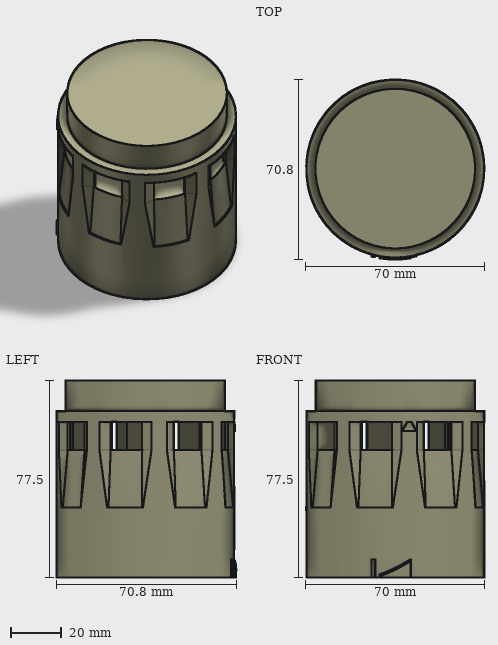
import math

import cadquery as cq

body_radius = 35.0
body_height = 65.5
cap_radius = 31.4
total_height = 77.5

window_count = 8
window_pitch = 360.0 / window_count
first_window_angle = -58.5
window_bottom = 27.5
ledge_height = 50.2
window_top = 61.2
opening_height = window_top - ledge_height
opening_half_angle = window_pitch / 4
floor_radius_bottom = 34.6
floor_radius_top = 32.5
rim_half_angle_bottom = 11.9
rim_half_angle_top = 17.5

chamber_radius = cap_radius
block_inner_distance = 20.4
first_block_angle = first_window_angle + 1.5 * window_pitch
block_angles = (first_block_angle, first_block_angle + 180)

mark_radius = body_radius + 0.75
mark_root_radius = body_radius - 1.0
arrow_radius = body_radius + 0.4

arrow_angle = first_window_angle - window_pitch / 2
arrow_base_height = 57.6
arrow_base_half_width = 2.9
arrow_tip_half_width = 0.8

stop_height = 7.15
rib_left = -9.25
rib_right_root = -7.75
rib_right_crest = -8.2
rib_back_y = -math.sqrt(mark_root_radius**2 - rib_left**2)
rib_root_y = -math.sqrt(body_radius**2 - rib_right_root**2)
rib_crest_y = -math.sqrt(mark_radius**2 - rib_right_crest**2)

ramp_half_length = 6.1
ramp_low_end_height = 1.2
ramp_crest_drop = 1.0
ramp_crest_inset = 0.2


def polar(radius, angle):
    """Point at a radius and an angle in degrees from +X."""
    radians = math.radians(angle)
    return (radius * math.cos(radians), radius * math.sin(radians))


def cylinder(radius, bottom, top):
    return cq.Workplane("XY").workplane(offset=bottom).circle(radius).extrude(top - bottom)


def turned(shape, angle):
    """Shape turned about the Z axis."""
    return shape.rotate((0, 0, 0), (0, 0, 1), angle)


def chamber_sector(radius):
    """Sector centred on +X, as wide as one opening and as tall as the chamber."""
    return (
        cq.Workplane("XY")
        .workplane(offset=ledge_height)
        .lineTo(*polar(radius, -opening_half_angle))
        .threePointArc((radius, 0), polar(radius, opening_half_angle))
        .close()
        .extrude(opening_height)
    )


def draw_pocket_section(plane, floor_radius, rim_half_angle):
    """Pocket section on +X: a floor arc and flared sides that run on past the wall."""
    floor_x, floor_y = polar(floor_radius, opening_half_angle)
    rim_x, rim_y = polar(body_radius, rim_half_angle)
    outer_x = 2 * rim_x - floor_x
    outer_y = 2 * rim_y - floor_y
    outer_radius = math.hypot(outer_x, outer_y)
    return (
        plane.moveTo(floor_x, -floor_y)
        .threePointArc((floor_radius, 0), (floor_x, floor_y))
        .lineTo(outer_x, outer_y)
        .threePointArc((outer_radius, 0), (outer_x, -outer_y))
        .close()
    )


def make_window():
    """Cutter for one window centred on +X."""
    lower_plane = cq.Workplane("XY").workplane(offset=window_bottom)
    lower = draw_pocket_section(lower_plane, floor_radius_bottom, rim_half_angle_bottom)
    upper_plane = lower.workplane(offset=ledge_height - window_bottom)
    sloped = draw_pocket_section(upper_plane, floor_radius_top, rim_half_angle_top).loft(ruled=True)

    ledge_plane = cq.Workplane("XY").workplane(offset=ledge_height)
    straight = draw_pocket_section(ledge_plane, floor_radius_top, rim_half_angle_top).extrude(opening_height)
    return sloped.union(straight).union(chamber_sector(body_radius))


def make_chamber():
    """Disc-shaped hollow with a flat-ended block left standing at each block angle."""
    chamber = cylinder(chamber_radius, ledge_height, window_top)
    beyond_flat = (
        cq.Workplane("XY")
        .workplane(offset=ledge_height)
        .moveTo(block_inner_distance, -body_radius)
        .lineTo(body_radius, -body_radius)
        .lineTo(body_radius, body_radius)
        .lineTo(block_inner_distance, body_radius)
        .close()
        .extrude(opening_height)
    )
    block = chamber_sector(body_radius).intersect(beyond_flat)
    for angle in block_angles:
        chamber = chamber.cut(turned(block, angle))
    return chamber


def make_arrow():
    """Low pointed mark on the wall between two windows."""
    outline = (
        cq.Workplane("YZ")
        .moveTo(-arrow_base_half_width, arrow_base_height)
        .lineTo(arrow_base_half_width, arrow_base_height)
        .lineTo(arrow_tip_half_width, window_top)
        .lineTo(-arrow_tip_half_width, window_top)
        .close()
        .extrude(mark_radius)
    )
    arrow_band = cylinder(arrow_radius, arrow_base_height, window_top)
    arrow_band = arrow_band.cut(cylinder(mark_root_radius, arrow_base_height, window_top))
    return turned(outline.intersect(arrow_band), arrow_angle)


def make_rib():
    """Short upright rib at the bottom edge, with its right side leaning in."""
    rib = (
        cq.Workplane("XY")
        .moveTo(rib_left, rib_back_y)
        .lineTo(rib_left, rib_crest_y)
        .lineTo(rib_right_crest, rib_crest_y)
        .lineTo(rib_right_root, rib_root_y)
        .lineTo(rib_right_root, rib_back_y)
        .close()
        .extrude(stop_height)
    )
    return rib.intersect(cylinder(mark_radius, 0, stop_height))


def draw_ramp_section(plane, drop, inset):
    """Ramp outline, rising toward +X, with its top lowered and its tall end drawn in."""
    return (
        plane.moveTo(-ramp_half_length, 0)
        .lineTo(ramp_half_length - inset, 0)
        .lineTo(ramp_half_length - inset, stop_height - drop)
        .lineTo(-ramp_half_length, ramp_low_end_height - drop)
        .close()
    )


def make_ramp():
    """Ramp at the bottom edge, drafted outward and following the round of the wall."""
    root_radius = math.sqrt(body_radius**2 - ramp_half_length**2)
    root_plane = cq.Workplane("XZ").workplane(offset=root_radius)
    inner = draw_ramp_section(root_plane, 0, 0)
    crest_plane = inner.workplane(offset=mark_radius - root_radius)
    ramp = draw_ramp_section(crest_plane, ramp_crest_drop, ramp_crest_inset).loft(ruled=True)
    return ramp.intersect(cylinder(mark_radius, 0, stop_height))


result = cylinder(body_radius, 0, body_height).union(cylinder(cap_radius, body_height, total_height))

result = result.cut(make_chamber())
window = make_window()
for index in range(window_count):
    result = result.cut(turned(window, first_window_angle + index * window_pitch))

for mark in (make_arrow(), make_rib(), make_ramp()):
    result = result.union(mark)